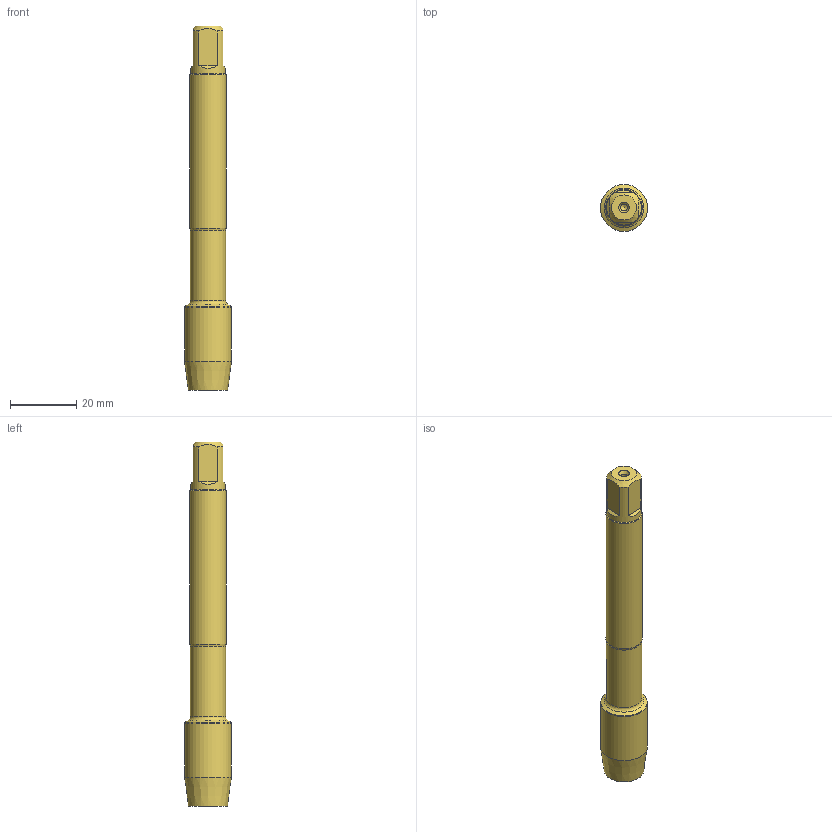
import cadquery as cq
import math

total_length = 110.0

head_diameter = 14.16
head_length = 25.0
lead_length = 8.7
lead_tip_diameter = 11.9

collar_rim_height = 0.25
collar_cone_slope = math.radians(30.0)
collar_fillet_radius = 1.3

neck_diameter = 10.7
shank_diameter = 11.0
neck_top_height = 48.35
neck_taper_height = 0.55

drive_diameter = 10.56
drive_length = 14.5
drive_shoulder_chamfer = (shank_diameter - drive_diameter) / 2
square_width = 9.0
square_length = 12.0
tip_chamfer = 1.5

centre_hole_diameter = 2.0
centre_hole_depth = 2.5
countersink_diameter = 3.2
countersink_angle = 60.0
drill_point_angle = 120.0


def cone_height(large_diameter, small_diameter, included_angle):
    half_angle = math.radians(included_angle / 2)
    return (large_diameter - small_diameter) / 2 / math.tan(half_angle)


def make_cutting_head():
    """Plain cylinder with a tapered lead at its lower end."""
    radius = head_diameter / 2
    profile = (
        cq.Workplane("XZ")
        .lineTo(lead_tip_diameter / 2, 0)
        .lineTo(radius, lead_length)
        .lineTo(radius, head_length)
        .lineTo(0, head_length)
        .close()
    )
    return profile.revolve(360, (0, 0, 0), (0, 1, 0))


def make_shank_blank():
    """Round shank from the collar up to the drive end."""
    neck_radius = neck_diameter / 2
    shank_radius = shank_diameter / 2
    drive_radius = drive_diameter / 2
    collar_radius = head_diameter / 2
    rim_height = head_length + collar_rim_height
    shoulder_height = total_length - drive_length
    cone_end_radius = neck_radius + collar_fillet_radius * (1 - math.sin(collar_cone_slope))
    cone_end_height = rim_height + (collar_radius - cone_end_radius) * math.tan(collar_cone_slope)
    fillet_top_height = cone_end_height + collar_fillet_radius * math.cos(collar_cone_slope)
    profile = (
        cq.Workplane("XZ")
        .moveTo(0, head_length)
        .lineTo(collar_radius, head_length)
        .lineTo(collar_radius, rim_height)
        .lineTo(cone_end_radius, cone_end_height)
        .radiusArc((neck_radius, fillet_top_height), collar_fillet_radius)
        .lineTo(neck_radius, neck_top_height)
        .lineTo(shank_radius, neck_top_height + neck_taper_height)
        .lineTo(shank_radius, shoulder_height - drive_shoulder_chamfer)
        .lineTo(drive_radius, shoulder_height)
        .lineTo(drive_radius, total_length - tip_chamfer)
        .lineTo(drive_radius - tip_chamfer, total_length)
        .lineTo(0, total_length)
        .close()
    )
    return profile.revolve(360, (0, 0, 0), (0, 1, 0))


def make_flat_cutter():
    """Block beyond one flat of the square, with a 45 degree run-out at its lower end."""
    flat_distance = square_width / 2
    flat_bottom = total_length - square_length
    runout_bottom = flat_bottom - (drive_diameter / 2 - flat_distance)
    return (
        cq.Workplane("XZ")
        .moveTo(flat_distance, total_length)
        .lineTo(flat_distance, flat_bottom)
        .lineTo(drive_diameter / 2, runout_bottom)
        .lineTo(drive_diameter, runout_bottom)
        .lineTo(drive_diameter, total_length)
        .close()
        .extrude(drive_diameter / 2, both=True)
    )


def make_centre_hole():
    """Countersunk drilled hole with a conical point, along the axis from the top."""
    hole_radius = centre_hole_diameter / 2
    countersink_depth = cone_height(countersink_diameter, centre_hole_diameter, countersink_angle)
    hole_bottom = total_length - centre_hole_depth
    point_height = cone_height(centre_hole_diameter, 0, drill_point_angle)
    profile = (
        cq.Workplane("XZ")
        .moveTo(0, total_length)
        .lineTo(countersink_diameter / 2, total_length)
        .lineTo(hole_radius, total_length - countersink_depth)
        .lineTo(hole_radius, hole_bottom)
        .lineTo(0, hole_bottom - point_height)
        .close()
    )
    return profile.revolve(360, (0, 0, 0), (0, 1, 0))


def make_shank():
    shank = make_shank_blank()
    flat_cutter = make_flat_cutter()
    for flat in range(4):
        shank = shank.cut(flat_cutter.rotate((0, 0, 0), (0, 0, 1), 90 * flat))
    return shank.cut(make_centre_hole())


cutting_head = make_cutting_head()
shank = make_shank()

result = cq.Compound.makeCompound([cutting_head.val(), shank.val()])